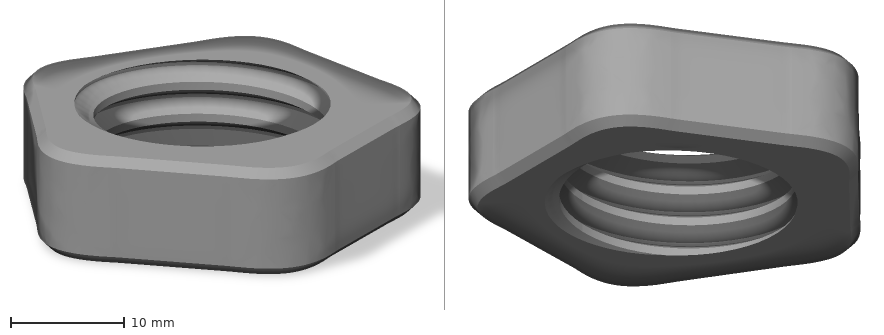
import cadquery as cq
import math

THICKNESS = 10.0
CORNERS = 5
CORNER_STEP = 360.0 / CORNERS
EDGE_CHAMFER = 0.8

FLAT_DISTANCE = 16.0
FLAT_HALF_LENGTH = 4.7
BLEND_LENGTH = 0.9
BLEND_TURN = 4.5
CORNER_TIP_RADIUS = 18.49

BORE_RADIUS = 21.0 / 2
ROOT_RADIUS = 24.35 / 2
THREAD_PITCH = 3.0
FLANK_ANGLE = 30.0
CREST_WIDTH = THREAD_PITCH / 4
TOP_GROOVE_ANGLE = 207.0
RUNOUT_TURNS = 1


def turned(point, degrees):
    angle = math.radians(degrees)
    x, y = point
    return (
        x * math.cos(angle) - y * math.sin(angle),
        x * math.sin(angle) + y * math.cos(angle),
    )


def mirrored(point):
    return (point[0], -point[1])


def nut_outline():
    """Five flats joined by hollow blends to five smooth bulging corners; one flat faces +X."""
    blend_turn = math.radians(BLEND_TURN)
    blend_radius = BLEND_LENGTH / math.sin(blend_turn)

    def blend_point(turn):
        return (
            FLAT_DISTANCE + blend_radius * (1 - math.cos(turn)),
            FLAT_HALF_LENGTH + blend_radius * math.sin(turn),
        )

    flat_end = blend_point(0)
    blend_middle = blend_point(blend_turn / 2)
    corner_start = blend_point(blend_turn)

    half_step = math.radians(CORNER_STEP / 2)
    start_along_axis = corner_start[0] * math.cos(half_step) + corner_start[1] * math.sin(half_step)
    handle_along_axis = (CORNER_TIP_RADIUS - start_along_axis) * 4 / 3
    handle_length = handle_along_axis / math.sin(half_step + blend_turn)
    corner_handle = (
        corner_start[0] + handle_length * math.sin(blend_turn),
        corner_start[1] + handle_length * math.cos(blend_turn),
    )

    outline = cq.Workplane("XY").moveTo(*mirrored(flat_end))
    for side in range(CORNERS):
        here = side * CORNER_STEP
        following = here + CORNER_STEP
        corner = [
            turned(corner_start, here),
            turned(corner_handle, here),
            turned(mirrored(corner_handle), following),
            turned(mirrored(corner_start), following),
        ]
        outline = (
            outline.lineTo(*turned(flat_end, here))
            .threePointArc(turned(blend_middle, here), corner[0])
            .bezier(corner)
            .threePointArc(
                turned(mirrored(blend_middle), following),
                turned(mirrored(flat_end), following),
            )
        )
    return outline.close()


def nut_blank():
    """The chamfered body with its plain bore."""
    body = nut_outline().extrude(THICKNESS).faces("|Z").chamfer(EDGE_CHAMFER)
    bore = cq.Workplane("XY").circle(BORE_RADIUS).extrude(THICKNESS)
    return body.cut(bore)


def thread_groove():
    """Right-hand helical groove that runs out past both end faces."""
    flank_rise = (ROOT_RADIUS - BORE_RADIUS) * math.tan(math.radians(FLANK_ANGLE))
    mouth_half = (THREAD_PITCH - CREST_WIDTH) / 2
    root_half = mouth_half - flank_rise

    turns_below_top = math.ceil(THICKNESS / THREAD_PITCH) + RUNOUT_TURNS
    start_z = THICKNESS - turns_below_top * THREAD_PITCH
    length = (turns_below_top + RUNOUT_TURNS) * THREAD_PITCH

    profile = [
        cq.Vector(BORE_RADIUS, 0, start_z - mouth_half),
        cq.Vector(ROOT_RADIUS, 0, start_z - root_half),
        cq.Vector(ROOT_RADIUS, 0, start_z + root_half),
        cq.Vector(BORE_RADIUS, 0, start_z + mouth_half),
    ]
    helices = [
        cq.Wire.makeHelix(THREAD_PITCH, length, corner.x).translate(cq.Vector(0, 0, corner.z))
        for corner in profile
    ]
    faces = []
    for index, helix in enumerate(helices):
        faces.append(cq.Face.makeRuledSurface(helices[index - 1], helix))
    for rise in (0, length):
        end_corners = [corner + cq.Vector(0, 0, rise) for corner in profile]
        faces.append(cq.Face.makeFromWires(cq.Wire.makePolygon(end_corners, close=True)))

    groove = cq.Workplane(cq.Solid.makeSolid(cq.Shell.makeShell(faces)))
    return groove.rotate((0, 0, 0), (0, 0, 1), TOP_GROOVE_ANGLE)


result = nut_blank().cut(thread_groove())